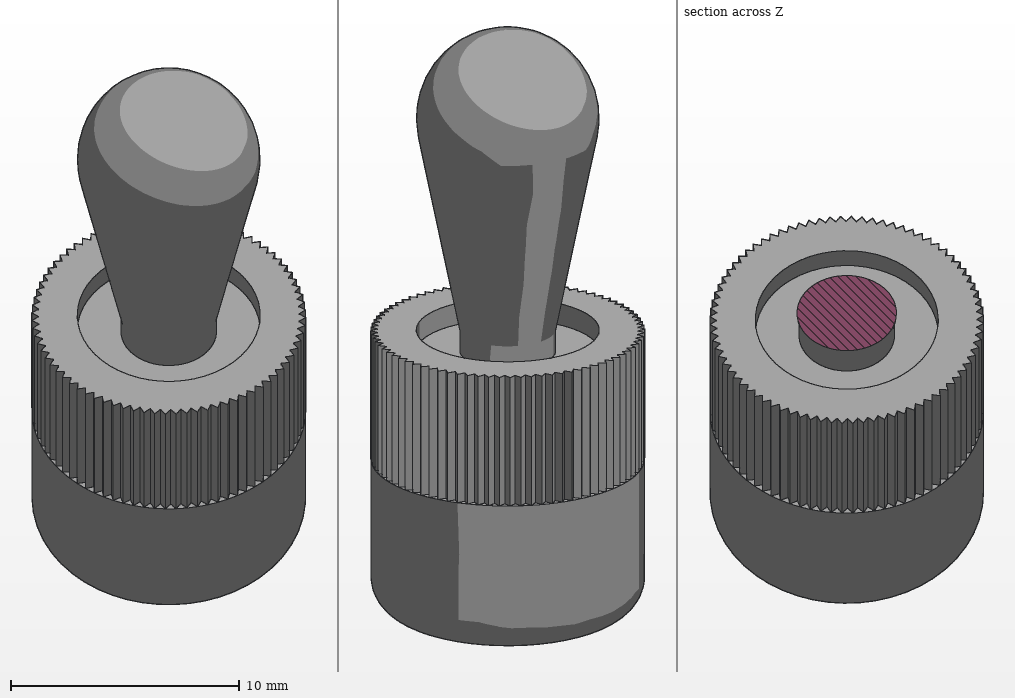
import cadquery as cq
import math

total_height = 26.9
housing_diameter = 12.0
housing_height = 13.0

bottom_fillet = 1.5
knurl_height = 6.0
groove_count = 80
groove_depth = 0.3
recess_diameter = 8.02
recess_depth = 1.0

ball_diameter = recess_diameter
neck_diameter = 4.2

housing_radius = housing_diameter / 2
knurl_bottom = housing_height - knurl_height
recess_floor = housing_height - recess_depth
ball_radius = ball_diameter / 2
neck_radius = neck_diameter / 2
ball_center = total_height - ball_radius


def make_knurl_band():
    """Band whose rim is cut by V grooves that meet in sharp teeth."""
    groove_angle = 2 * math.pi / groove_count
    tip_radius = housing_radius / math.cos(groove_angle / 2)
    root_radius = tip_radius - groove_depth
    outline = []
    for index in range(groove_count):
        root_angle = index * groove_angle
        tip_angle = root_angle + groove_angle / 2
        outline.append((root_radius * math.cos(root_angle), root_radius * math.sin(root_angle)))
        outline.append((tip_radius * math.cos(tip_angle), tip_radius * math.sin(tip_angle)))
    return cq.Workplane("XY").workplane(offset=knurl_bottom).polyline(outline).close().extrude(knurl_height)


def make_housing():
    """Round base with a rounded bottom edge, a knurled band and a recess in the top."""
    base = cq.Workplane("XY").circle(housing_radius).extrude(knurl_bottom)
    base = base.faces("<Z").edges().fillet(bottom_fillet)
    recess = cq.Workplane("XY").workplane(offset=recess_floor).circle(recess_diameter / 2).extrude(recess_depth)
    return base.union(make_knurl_band()).cut(recess)


def make_lever():
    """Straight neck standing on the recess floor, then a cone that runs tangent into a ball."""
    rise = ball_center - housing_height
    lean_angle = math.asin(ball_radius / math.hypot(rise, neck_radius)) - math.atan2(neck_radius, rise)
    tangent_radius = ball_radius * math.cos(lean_angle)
    tangent_height = ball_center - ball_radius * math.sin(lean_angle)
    middle_angle = (math.pi / 2 - lean_angle) / 2
    arc_middle = (ball_radius * math.cos(middle_angle), ball_center + ball_radius * math.sin(middle_angle))
    profile = (
        cq.Workplane("XZ")
        .moveTo(0, recess_floor)
        .lineTo(neck_radius, recess_floor)
        .lineTo(neck_radius, housing_height)
        .lineTo(tangent_radius, tangent_height)
        .threePointArc(arc_middle, (0, total_height))
        .close()
    )
    return profile.revolve(360, (0, 0, 0), (0, 1, 0))


housing = make_housing()
lever = make_lever()

result = cq.Compound.makeCompound([housing.val(), lever.val()])